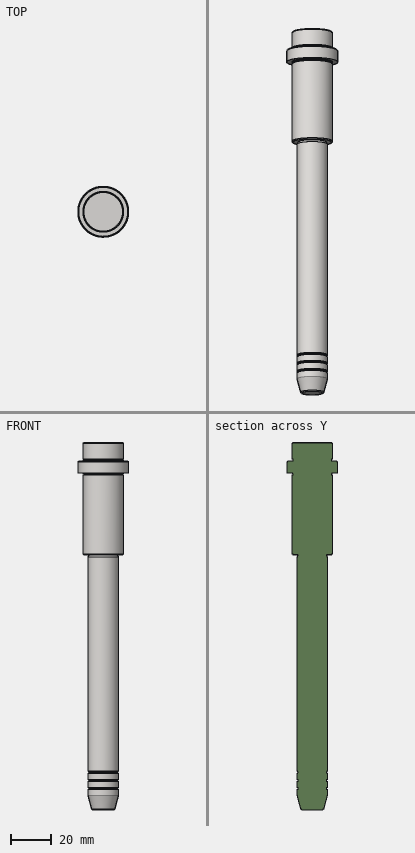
import cadquery as cq
import math

LENGTH = 180.0

SHANK_RADIUS = 10.0
FLANGE_RADIUS = 12.5
HEAD_HEIGHT = 9.0
FLANGE_THICKNESS = 6.0
SHANK_LENGTH = 40.0
EDGE_CHAMFER = 0.5

RING_WIDTH = 1.0
RING_WALL_RUN = 0.3

FLANGE_RELIEF_DEPTH = 0.5

PIN_RELIEF_LENGTH = 1.0
PIN_RELIEF_DEPTH = 0.5

PIN_RADIUS = 7.5

TIP_LENGTH = 7.0
TIP_ANGLE = 15.0
TIP_CHAMFER = 0.5

GROOVE_COUNT = 3
GROOVE_PITCH = 4.0
FIRST_GROOVE_BOTTOM = 10.0
OIL_GROOVE_DEPTH = 0.4

FLANGE_TOP = LENGTH - HEAD_HEIGHT
FLANGE_BOTTOM = FLANGE_TOP - FLANGE_THICKNESS
SHANK_BOTTOM = FLANGE_BOTTOM - SHANK_LENGTH


def cylinder(radius, bottom, top):
    """Solid cylinder on the Z axis between two levels."""
    return cq.Workplane("XY").workplane(offset=bottom).circle(radius).extrude(top - bottom)


def make_head():
    return cylinder(SHANK_RADIUS, FLANGE_TOP, LENGTH).faces(">Z").chamfer(EDGE_CHAMFER)


def make_flange():
    return cylinder(FLANGE_RADIUS, FLANGE_BOTTOM, FLANGE_TOP).faces(">Z").chamfer(EDGE_CHAMFER)


def make_shank():
    return cylinder(SHANK_RADIUS, SHANK_BOTTOM, FLANGE_BOTTOM).faces("<Z").chamfer(EDGE_CHAMFER)


def make_pin():
    """Straight pin with a conical lead-in at its lower end."""
    tip_radius = PIN_RADIUS - TIP_LENGTH * math.tan(math.radians(TIP_ANGLE))
    profile = (
        cq.Workplane("XZ")
        .moveTo(0, 0)
        .lineTo(tip_radius, 0)
        .lineTo(PIN_RADIUS, TIP_LENGTH)
        .lineTo(PIN_RADIUS, SHANK_BOTTOM)
        .lineTo(0, SHANK_BOTTOM)
        .close()
    )
    return profile.revolve(360, (0, 0), (0, 1)).faces("<Z").chamfer(TIP_CHAMFER)


def ring_cutter(radius, bottom, depth):
    """Ring of trapezoidal section, widest at the given surface radius."""
    top = bottom + RING_WIDTH
    floor_radius = radius - depth
    profile = (
        cq.Workplane("XZ")
        .moveTo(radius, bottom)
        .lineTo(floor_radius, bottom + RING_WALL_RUN)
        .lineTo(floor_radius, top - RING_WALL_RUN)
        .lineTo(radius, top)
        .close()
    )
    return profile.revolve(360, (0, 0), (0, 1))


def pin_relief_cutter():
    """Ring of triangular section against the lower face of the shank."""
    profile = (
        cq.Workplane("XZ")
        .moveTo(PIN_RADIUS, SHANK_BOTTOM)
        .lineTo(PIN_RADIUS - PIN_RELIEF_DEPTH, SHANK_BOTTOM)
        .lineTo(PIN_RADIUS, SHANK_BOTTOM - PIN_RELIEF_LENGTH)
        .close()
    )
    return profile.revolve(360, (0, 0), (0, 1))


result = make_pin().union(make_shank()).union(make_flange()).union(make_head())

for relief_bottom in (FLANGE_TOP, FLANGE_BOTTOM - RING_WIDTH):
    result = result.cut(ring_cutter(SHANK_RADIUS, relief_bottom, FLANGE_RELIEF_DEPTH))

result = result.cut(pin_relief_cutter())

for index in range(GROOVE_COUNT):
    groove_bottom = FIRST_GROOVE_BOTTOM + index * GROOVE_PITCH
    result = result.cut(ring_cutter(PIN_RADIUS, groove_bottom, OIL_GROOVE_DEPTH))